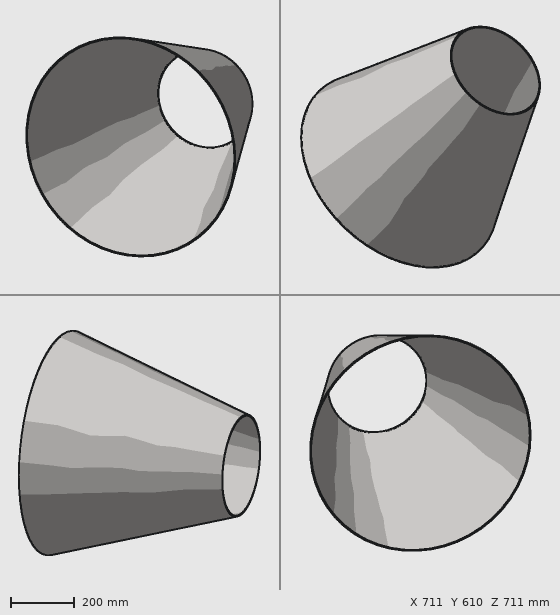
import cadquery as cq

wide_diameter = 711.0
narrow_diameter = 323.5
length = 610.0
wall = 4.0

wide_radius = wide_diameter / 2
narrow_radius = narrow_diameter / 2

wall_section = (
    cq.Workplane("XY")
    .moveTo(wide_radius - wall, 0)
    .lineTo(wide_radius, 0)
    .lineTo(narrow_radius, length)
    .lineTo(narrow_radius - wall, length)
    .close()
)

result = wall_section.revolve(360, (0, 0, 0), (0, 1, 0))